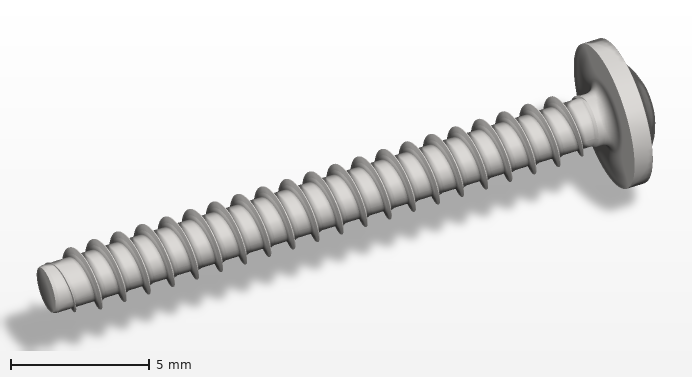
import cadquery as cq
import math


flange_radius = 2.745
flange_thickness = 0.74
flange_edge_fillet = 0.05
dome_base_radius = 2.19
dome_height = 1.02
head_height = flange_thickness + dome_height

overall_length = 23.77
shank_length = overall_length - head_height
neck_radius = 0.97
neck_fillet = 0.4
neck_length = 0.65
neck_taper_length = 0.12
core_radius = 0.9
tip_radius = 0.85
tip_taper_length = 0.12

thread_pitch = 0.95
crest_radius = 1.25
thread_depth = crest_radius - core_radius
crest_half_width = 0.015
knee_radius = 1.05
knee_half_width = 0.07
buried_radius = 0.85
tip_side_buried_width = 0.17
foot_radius = 0.95
foot_width = 0.15
head_side_buried_width = 0.43
crest_offset = 1.65
first_turn = -1.5
last_turn = 21.0
fade_turns = 1.25
end_width_fraction = 0.3
segment_turns = fade_turns
samples_per_segment = 20


def make_body():
    """Head, neck and threadless core, revolved about Y."""
    sphere_radius = (dome_base_radius**2 + dome_height**2) / (2 * dome_height)
    half_angle = math.asin(dome_base_radius / sphere_radius) / 2
    dome_mid = (
        sphere_radius * math.sin(half_angle),
        head_height - sphere_radius * (1 - math.cos(half_angle)),
    )
    edge_mid_inset = flange_edge_fillet * (1 - math.sqrt(0.5))
    edge_mid = (flange_radius - edge_mid_inset, flange_thickness - edge_mid_inset)
    fillet_mid_inset = neck_fillet * (1 - math.sqrt(0.5))
    fillet_mid = (neck_radius + fillet_mid_inset, -fillet_mid_inset)
    return (
        cq.Workplane("XY")
        .moveTo(0, head_height)
        .threePointArc(dome_mid, (dome_base_radius, flange_thickness))
        .lineTo(flange_radius - flange_edge_fillet, flange_thickness)
        .threePointArc(edge_mid, (flange_radius, flange_thickness - flange_edge_fillet))
        .lineTo(flange_radius, 0)
        .lineTo(neck_radius + neck_fillet, 0)
        .threePointArc(fillet_mid, (neck_radius, -neck_fillet))
        .lineTo(neck_radius, -neck_length)
        .lineTo(core_radius, -neck_length - neck_taper_length)
        .lineTo(core_radius, tip_taper_length - shank_length)
        .lineTo(tip_radius, -shank_length)
        .lineTo(0, -shank_length)
        .close()
        .revolve(360, (0, 0, 0), (0, 1, 0))
    )


def fade(turn):
    """Growth of the ridge at a given turn, from 0 at either end to 1 along the full thread."""
    turns_from_end = min(turn - first_turn, last_turn - turn)
    return min(1, turns_from_end / fade_turns)


def ridge_edge(full_radius, full_offset, start_turn):
    """Right-handed helical edge through one corner of the ridge profile, one segment long."""
    points = []
    for i in range(samples_per_segment + 1):
        turn = start_turn + segment_turns * i / samples_per_segment
        angle = 2 * math.pi * turn
        growth = fade(turn)
        radius = full_radius - thread_depth * (1 - growth)
        offset = full_offset * (end_width_fraction + (1 - end_width_fraction) * growth)
        y = crest_offset - shank_length + thread_pitch * turn + offset
        points.append(cq.Vector(radius * math.cos(angle), y, -radius * math.sin(angle)))
    return cq.Edge.makeSpline(points)


def ridge_cap(edges, end):
    """Flat face closing the ridge at the start (0) or the end (1) of a segment."""
    corners = [edge.positionAt(end) for edge in edges]
    return cq.Face.makeFromWires(cq.Wire.makePolygon(corners, close=True))


def make_thread():
    """Ridge bounded by ruled helical faces and a flat cap at each buried end."""
    profile = [
        (buried_radius, -tip_side_buried_width),
        (knee_radius, -knee_half_width),
        (crest_radius, -crest_half_width),
        (crest_radius, crest_half_width),
        (knee_radius, knee_half_width),
        (foot_radius, foot_width),
        (buried_radius, head_side_buried_width),
    ]
    segment_count = round((last_turn - first_turn) / segment_turns)
    segments = []
    for k in range(segment_count):
        start_turn = first_turn + k * segment_turns
        segments.append([ridge_edge(radius, offset, start_turn) for radius, offset in profile])
    faces = [ridge_cap(segments[0], 0), ridge_cap(segments[-1], 1)]
    for edges in segments:
        for edge, next_edge in zip(edges, edges[1:] + edges[:1]):
            faces.append(cq.Face.makeRuledSurface(edge, next_edge))
    return cq.Solid.makeSolid(cq.Shell.makeShell(faces))


screw = make_body().union(cq.Workplane(make_thread()), clean=False)
result = cq.Workplane(screw.solids().val())